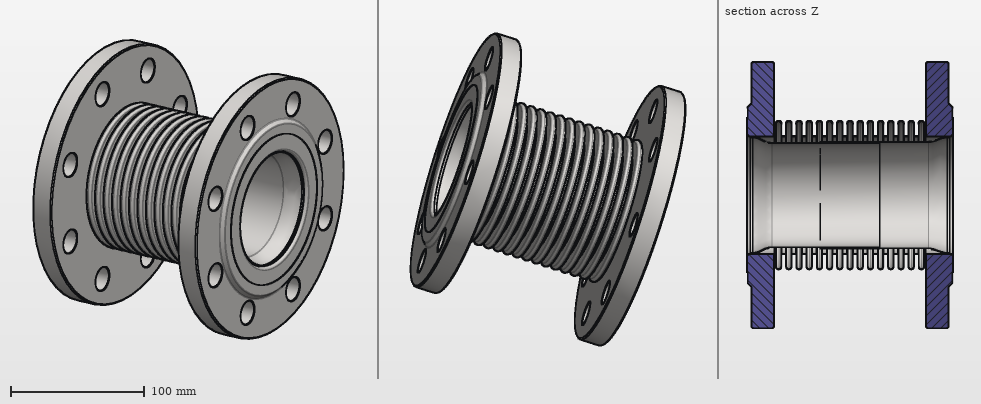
import cadquery as cq
import math

overall_length = 155.0
half_length = overall_length / 2
wall = 0.5

tube_diameter = 88.9
lip_diameter = 116.0
lip_bend_radius = 2.0
crest_diameter = 112.0
convolution_count = 15
convolution_pitch = 7.65
convolution_width = 4.6

flange_diameter = 200.0
flange_thickness = 17.0
flange_chamfer = 1.0
raised_face_diameter = 138.0
raised_face_height = 3.0
raised_face_chamfer = 3.0
raised_face_rounding = 1.0
bolt_circle_diameter = 160.0
bolt_hole_diameter = 18.0
bolt_hole_count = 8
bolt_hole_chamfer = 0.5
edge_tolerance = 0.01

mouth_bore_diameter = 86.5
mouth_setback = 2.5
mouth_length = 2.0
taper_length = 14.2
inner_duct_bore = 78.0
outer_duct_bore = 79.6
duct_overlap = 44.4

tube_radius = tube_diameter / 2
tube_bore_radius = tube_radius - wall
quarter_turn = math.sin(math.pi / 4)


def revolve_about_x(profile):
    return profile.close().revolve(360, (0, 0, 0), (1, 0, 0))


def ring(x_start, length, outer_radius, inner_radius):
    ring_profile = cq.Workplane("YZ", origin=(x_start, 0, 0))
    return ring_profile.circle(outer_radius).circle(inner_radius).extrude(length)


def add_crests(profile, centers, root_radius, half_width, crest_radius):
    """Extend the profile over the crests, each centre in turn, and back down to the roots."""
    arc_center = crest_radius - half_width
    for x_center in centers:
        step = half_width if centers[0] < centers[-1] else -half_width
        rise = arc_center + half_width * quarter_turn
        profile = (
            profile
            .lineTo(x_center - step, root_radius)
            .lineTo(x_center - step, arc_center)
            .threePointArc((x_center - step * quarter_turn, rise), (x_center, crest_radius))
            .threePointArc((x_center + step * quarter_turn, rise), (x_center + step, arc_center))
            .lineTo(x_center + step, root_radius)
        )
    return profile


def corrugated_tube():
    """Tube with hollow convolutions: outer surface from -X to +X, then the inner one back."""
    tube_end_x = half_length - wall - lip_bend_radius
    first_x = -convolution_pitch * (convolution_count - 1) / 2
    centers = [first_x + i * convolution_pitch for i in range(convolution_count)]
    half_width = convolution_width / 2
    crest_radius = crest_diameter / 2

    profile = cq.Workplane("XY").moveTo(-tube_end_x, tube_radius)
    profile = add_crests(profile, centers, tube_radius, half_width, crest_radius)
    profile = profile.lineTo(tube_end_x, tube_radius).lineTo(tube_end_x, tube_bore_radius)
    profile = add_crests(profile, centers[::-1], tube_bore_radius, half_width - wall, crest_radius - wall)
    return revolve_about_x(profile.lineTo(-tube_end_x, tube_bore_radius))


def lip(side):
    """Flat lip with its rounded bend, at the end of the joint given by side (-1 or 1)."""
    end_x = side * half_length
    back_x = side * (half_length - wall)
    bend_x = side * (half_length - wall - lip_bend_radius)
    bend_center_radius = tube_radius + lip_bend_radius
    outer_bend = lip_bend_radius + wall
    profile = (
        cq.Workplane("XY")
        .moveTo(bend_x, tube_bore_radius)
        .threePointArc(
            (bend_x + side * outer_bend * quarter_turn, bend_center_radius - outer_bend * quarter_turn),
            (end_x, bend_center_radius),
        )
        .lineTo(end_x, lip_diameter / 2)
        .lineTo(back_x, lip_diameter / 2)
        .lineTo(back_x, bend_center_radius)
        .threePointArc(
            (
                bend_x + side * lip_bend_radius * quarter_turn,
                bend_center_radius - lip_bend_radius * quarter_turn,
            ),
            (bend_x, tube_radius),
        )
    )
    return revolve_about_x(profile)


def sleeve(side, duct_bore):
    """Sheet sleeve from its mouth at one end of the joint to the tip of its duct."""
    mouth_inside = mouth_bore_diameter / 2
    mouth_outside = mouth_inside + wall
    duct_inside = duct_bore / 2
    duct_outside = duct_inside + wall
    mouth_x = side * (half_length - mouth_setback)
    taper_x = mouth_x - side * mouth_length
    duct_x = taper_x - side * taper_length
    tip_x = -side * duct_overlap / 2
    inward = (-side, 0)
    outward = (side, 0)
    profile = (
        cq.Workplane("XY")
        .moveTo(mouth_x, mouth_outside)
        .lineTo(taper_x, mouth_outside)
        .spline([(duct_x, duct_outside)], tangents=[inward, inward], includeCurrent=True)
        .lineTo(tip_x, duct_outside)
        .lineTo(tip_x, duct_inside)
        .lineTo(duct_x, duct_inside)
        .spline([(taper_x, mouth_inside)], tangents=[outward, outward], includeCurrent=True)
        .lineTo(mouth_x, mouth_inside)
    )
    return revolve_about_x(profile)


def seam(side):
    """Ring filling the narrow gap between the sleeve mouth and the tube."""
    mouth_outer_radius = mouth_bore_diameter / 2 + wall
    mouth_x = half_length - mouth_setback
    x_start = min(side * mouth_x, side * (mouth_x - mouth_length))
    return ring(x_start, mouth_length, tube_bore_radius, mouth_outer_radius)


def make_bellows():
    body = corrugated_tube()
    for side in (-1, 1):
        body = body.union(lip(side)).union(seam(side))
    body = body.union(sleeve(-1, inner_duct_bore))
    return body.union(sleeve(1, outer_duct_bore))


def make_flange(side):
    """Loose flange bearing on the lip at the given side; built at +X, mirrored for -X."""
    front_x = half_length - wall
    plate_front_x = front_x - raised_face_height
    plate_back_x = plate_front_x - flange_thickness
    rim_radius = raised_face_diameter / 2 - raised_face_chamfer
    largest = cq.selectors.RadiusNthSelector(-1)
    second_largest = cq.selectors.RadiusNthSelector(-2)
    smallest = cq.selectors.RadiusNthSelector(0)

    plate = ring(plate_back_x, flange_thickness, flange_diameter / 2, tube_radius)
    plate = plate.edges(largest).chamfer(flange_chamfer)
    holes = (
        cq.Workplane("YZ", origin=(plate_back_x, 0, 0))
        .polarArray(bolt_circle_diameter / 2, 180 / bolt_hole_count, 360, bolt_hole_count)
        .circle(bolt_hole_diameter / 2)
        .extrude(flange_thickness)
    )
    plate = plate.cut(holes)
    plate = plate.edges(smallest).chamfer(bolt_hole_chamfer)

    face = revolve_about_x(cq.Workplane("XY").polyline([
        (plate_front_x, tube_radius),
        (plate_front_x, raised_face_diameter / 2),
        (front_x, rim_radius),
        (front_x, tube_radius),
    ]))
    flange = plate.union(face)
    flange = flange.faces(">X").edges(smallest).fillet(lip_bend_radius)
    flange = flange.faces(">X").edges(largest).fillet(raised_face_rounding)
    foot_plane = cq.selectors.BoxSelector(
        (plate_front_x - edge_tolerance, -flange_diameter, -flange_diameter),
        (plate_front_x + edge_tolerance, flange_diameter, flange_diameter),
    )
    flange = flange.edges(foot_plane).edges(second_largest).fillet(raised_face_rounding)
    return flange if side > 0 else flange.mirror("YZ")


bellows = make_bellows()
flanges = [make_flange(side) for side in (-1, 1)]

result = cq.Compound.makeCompound([bellows.val(), *[flange.val() for flange in flanges]])